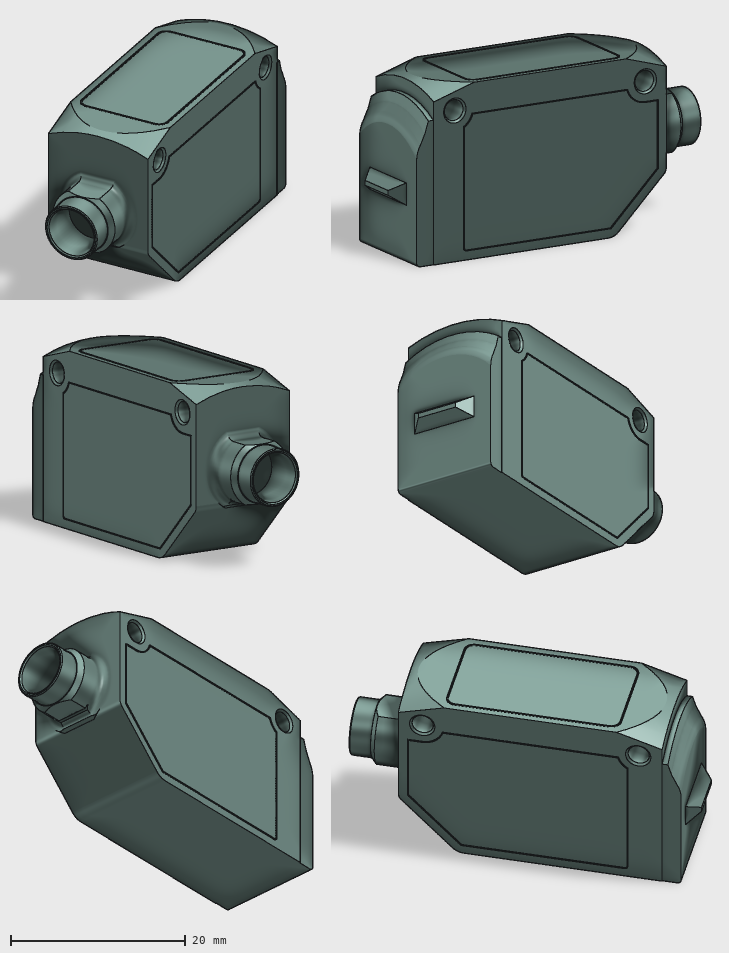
import cadquery as cq
import math


width = 13.0
length = 31.0
height = 21.0
rear_bevel = 6.95
bevel_bottom_radius = 2.02
bevel_top_radius = 1.1

crown_radius = 17.35
crown_rise = 0.3
crown_edge_drop = 0.3

hole_radius = 1.25
hole_mouth_radius = 1.5
hole_z = 17.95
hole_inset = 2.8

groove_depth = 0.12
top_groove_width = 0.15
top_panel_width = 11.3
top_panel_inset = 5.25
top_panel_radius = 1.2
side_groove_width = 0.1
side_margin = 1.07
side_panel_front = 26.95
side_panel_top = 17.3
side_corner_radius = 0.35
hole_clearance = 2.45

cap_width = 12.85
cap_depth = 2.25
cap_bottom_radius = 0.5
cap_axis_z = 6.75
cap_crown_radius = 12.25
cap_ledge = 0.65
cap_neck = (11.05, 1.1)
cap_shoulder = (10.05, 1.75)
cap_face_radius = 8.43
cap_arc_sagitta = 0.15

wedge_z = 8.18
wedge_base = (8.2, 2.65)
wedge_tip = (5.15, 0.58)
wedge_depth = 1.53

connector_z = 11.15
flare_radius = 1.0
collar_radius = 4.05
collar_chamfer = 0.58
collar_half_flats = 3.5
collar_end = 3.95
collar_root = 1.75
tip_radius = 3.4
tip_end = 6.53
tip_chamfer = 0.12
bore_radius = 2.95
bore_depth = 4.95
bore_chamfer = 0.15


def side_outline(points):
    """Closed outline of (y, z) points, drawn on the YZ plane."""
    return cq.Workplane("YZ").polyline(points).close()


def turned(points, axis_z):
    """Solid turned about a line along Y; points are (radius, y)."""
    profile = cq.Workplane("XY").polyline(points).close()
    return profile.revolve(360, (0, 0, 0), (0, 1, 0)).translate((0, 0, axis_z))


def crown_cylinder(end_y, direction):
    """Tilted cylinder that rounds the top at one end of the housing."""
    tilt = math.atan(crown_rise)
    top_z = height - crown_edge_drop
    axis_z = top_z - crown_radius / math.cos(tilt)
    reach = length + height
    axis = cq.Vector(0, direction * math.cos(tilt), math.sin(tilt))
    start = cq.Vector(0, end_y, axis_z) - axis * reach
    return cq.Workplane(cq.Solid.makeCylinder(crown_radius, 2 * reach, start, axis))


def make_housing():
    outline = [(rear_bevel, 0), (length, 0), (length, height), (0, height), (0, rear_bevel)]
    body = side_outline(outline).extrude(width / 2, both=True)
    body = body.edges(cq.NearestToPointSelector((0, rear_bevel, 0))).fillet(bevel_bottom_radius)
    body = body.edges(cq.NearestToPointSelector((0, 0, rear_bevel))).fillet(bevel_top_radius)
    return body.intersect(crown_cylinder(0, 1)).intersect(crown_cylinder(length, -1))


def make_mounting_hole(y):
    mouth = hole_mouth_radius - hole_radius
    half = width / 2
    profile = [
        (0, -half), (hole_mouth_radius, -half), (hole_radius, mouth - half),
        (hole_radius, half - mouth), (hole_mouth_radius, half), (0, half),
    ]
    return turned(profile, 0).rotate((0, 0, 0), (0, 0, 1), 90).translate((0, y, hole_z))


def make_top_groove():
    panel_length = length - 2 * top_panel_inset

    def panel(inset):
        plate = cq.Workplane("XY").box(
            top_panel_width - 2 * inset, panel_length - 2 * inset, 2 * groove_depth
        )
        return plate.edges("|Z").fillet(top_panel_radius - inset)

    groove = panel(0).cut(panel(top_groove_width))
    return groove.translate((0, length / 2, height))


def make_side_grooves():
    bevel_shift = side_margin * math.sqrt(2)
    bevel_sum = rear_bevel + bevel_shift

    def panel(inset):
        low = side_margin + inset
        front = side_panel_front - inset
        top = side_panel_top - inset
        clearance = hole_clearance + inset
        slope = bevel_sum + inset * math.sqrt(2)
        outline = [(slope - low, low), (front, low), (front, top), (low, top), (low, slope - low)]
        plate = side_outline(outline).extrude(groove_depth, both=True)
        for y in (hole_inset, length - hole_inset):
            relief = cq.Workplane("YZ").center(y, hole_z).circle(clearance)
            plate = plate.cut(relief.extrude(groove_depth, both=True))
        notch_z = hole_z - clearance
        notch = side_outline([(0, notch_z), (hole_inset, notch_z), (hole_inset, top), (0, top)])
        plate = plate.cut(notch.extrude(groove_depth, both=True))
        corner = cq.NearestToPointSelector((0, front, low))
        return plate.edges("|X").edges(corner).fillet(side_corner_radius - inset)

    groove = panel(0).cut(panel(side_groove_width))
    return groove.translate((width / 2, 0, 0)).union(groove.translate((-width / 2, 0, 0)))


def make_cap():
    block = cq.Workplane("XY").box(cap_width, cap_depth, height, centered=(True, False, False))
    block = block.edges(">Y and <Z").fillet(cap_bottom_radius)
    crown = (
        cq.Workplane("XY")
        .lineTo(cap_crown_radius, 0)
        .lineTo(cap_crown_radius, cap_ledge)
        .lineTo(*cap_neck)
        .lineTo(*cap_shoulder)
        .sagittaArc((cap_face_radius, cap_depth), -cap_arc_sagitta)
        .lineTo(0, cap_depth)
        .close()
        .revolve(360, (0, 0, 0), (0, 1, 0))
        .translate((0, 0, cap_axis_z))
    )
    lower = cq.Workplane("XY").box(width, 2 * cap_depth, cap_axis_z, centered=(True, True, False))
    return block.intersect(crown.union(lower)).translate((0, length, 0))


def make_wedge():
    base = cq.Workplane("XZ", origin=(0, length + cap_depth, wedge_z)).rect(*wedge_base)
    return base.workplane(offset=-wedge_depth).rect(*wedge_tip).loft(ruled=True)


def flared_profile(half_size):
    """Half of a collar section that flares into the housing; points are (distance, y)."""
    sagitta = flare_radius * (1 - math.sqrt(0.5))
    return (
        cq.Workplane("XY")
        .moveTo(0, collar_root)
        .lineTo(half_size + flare_radius, collar_root)
        .lineTo(half_size + flare_radius, 0)
        .threePointArc((half_size + sagitta, -sagitta), (half_size, -flare_radius))
    )


def make_connector():
    round_collar = (
        flared_profile(collar_radius)
        .lineTo(collar_radius, collar_chamfer - collar_end)
        .lineTo(collar_radius - collar_chamfer, -collar_end)
        .lineTo(0, -collar_end)
        .close()
        .revolve(360, (0, 0, 0), (0, 1, 0))
    )
    half_flats = (
        flared_profile(collar_half_flats)
        .lineTo(collar_half_flats, -collar_end)
        .lineTo(0, -collar_end)
        .close()
        .extrude(width / 2, both=True)
        .rotate((0, 0, 0), (0, 1, 0), -90)
    )
    flats = half_flats.union(half_flats.mirror("XY"))
    collar = round_collar.intersect(flats).translate((0, 0, connector_z))

    bevel_waste = side_outline([
        (rear_bevel, 0), (-flare_radius, 0), (-flare_radius, rear_bevel + flare_radius),
    ])
    collar = collar.cut(bevel_waste.extrude(width / 2, both=True))

    tip = turned(
        [
            (0, 0), (tip_radius, 0), (tip_radius, tip_chamfer - tip_end),
            (tip_radius - tip_chamfer, -tip_end), (0, -tip_end),
        ],
        connector_z,
    )
    return collar.union(tip)


def make_bore():
    mouth_radius = bore_radius + bore_chamfer
    bore_floor = bore_depth - tip_end
    profile = [
        (0, -tip_end), (mouth_radius, -tip_end), (bore_radius, bore_chamfer - tip_end),
        (bore_radius, bore_floor), (0, bore_floor),
    ]
    return turned(profile, connector_z)


result = make_housing().union(make_cap()).union(make_wedge()).union(make_connector())
result = result.cut(make_bore())
for hole_y in (hole_inset, length - hole_inset):
    result = result.cut(make_mounting_hole(hole_y))
result = result.cut(make_top_groove()).cut(make_side_grooves())